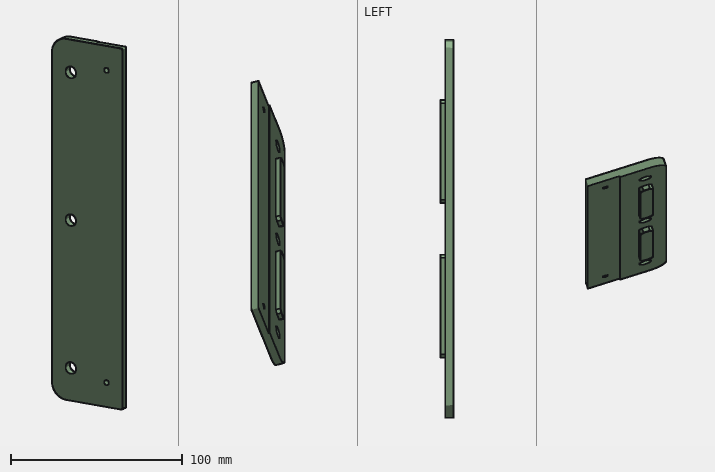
import cadquery as cq

length = 220.0
width = 48.0
thickness = 5.0
corner_radius = 10.0
small_corner_radius = 0.9
edge_chamfer = 0.2

step_x = 28.4
step_depth = 0.7

hole_x = 13.0
hole_diameter = 7.0
hole_pitch = 90.0
pin_hole_x = 37.2
pin_hole_diameter = 3.0
pin_hole_offset = 95.0

rail_width = 8.0
rail_length = 60.0
rail_height = 2.9
rail_corner_chamfer = 2.0
rail_top_chamfer = 0.2


def make_plate():
    """Plate with rounded corners, a chamfered front face and a thinned back."""
    plate = cq.Workplane("XY").box(width, thickness, length, centered=(False, False, True))
    plate = plate.edges("|Y and <X").fillet(corner_radius)
    plate = plate.edges("|Y and >X").fillet(small_corner_radius)
    plate = plate.faces("<Y").chamfer(edge_chamfer)
    step = (
        cq.Workplane("XY")
        .box(width - step_x, step_depth, length, centered=(False, False, True))
        .translate((step_x, thickness - step_depth, 0))
    )
    return plate.cut(step)


def make_rail(center_z):
    """Rail with bevelled ends, standing on the back face."""
    rail = cq.Workplane("XY").box(rail_width, rail_height, rail_length, centered=(True, False, True))
    rail = rail.edges("|Y").chamfer(rail_corner_chamfer)
    rail = rail.faces(">Y").chamfer(rail_top_chamfer)
    return rail.translate((hole_x, thickness, center_z))


def make_holes(diameter, points):
    """Cylinders through the plate at the given (X, Z) points."""
    return cq.Workplane("XZ").pushPoints(points).circle(diameter / 2).extrude(-thickness)


result = make_plate()
for side in (-1, 1):
    result = result.union(make_rail(side * hole_pitch / 2))

large_points = [(hole_x, row * hole_pitch) for row in (-1, 0, 1)]
pin_points = [(pin_hole_x, side * pin_hole_offset) for side in (-1, 1)]
result = result.cut(make_holes(hole_diameter, large_points))
result = result.cut(make_holes(pin_hole_diameter, pin_points))